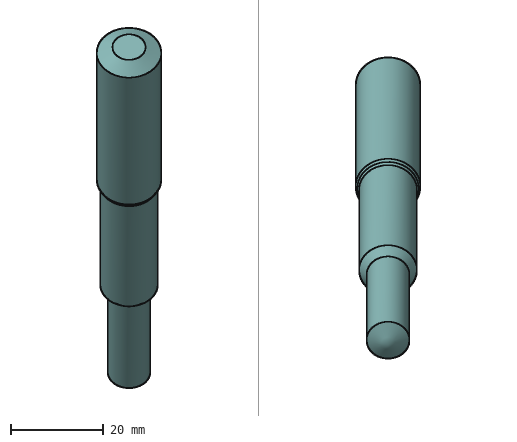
import cadquery as cq

total_height = 112.0
head_diameter = 14.0
top_flat_diameter = 7.2
shank_diameter = 12.5
tip_diameter = 9.3

point_height = 2.0
shank_bottom = 29.7
shank_cone_top = 31.7
collar_bottom = 65.6
collar_height = 1.5
top_cone_height = 1.9

collar_top = collar_bottom + collar_height
joint_height = (collar_bottom + collar_top) / 2
joint_diameter = (shank_diameter + head_diameter) / 2


def revolve_steps(steps):
    """Solid of revolution about Z from (diameter, height) steps, bottom to top."""
    bottom = steps[0][1]
    top = steps[-1][1]
    outer_points = [(diameter / 2, height) for diameter, height in steps if diameter > 0]
    outline = [(0, bottom), *outer_points, (0, top)]
    return cq.Workplane("XZ").polyline(outline).close().revolve(360, (0, 0, 0), (0, 1, 0))


def make_shank():
    """Lower body: pointed tip, shank and the lower half of the collar."""
    return revolve_steps([
        (0, 0),
        (tip_diameter, point_height),
        (tip_diameter, shank_bottom),
        (shank_diameter, shank_cone_top),
        (shank_diameter, collar_bottom),
        (joint_diameter, joint_height),
    ])


def make_head():
    """Upper body: the upper half of the collar, the head and its top cone."""
    return revolve_steps([
        (joint_diameter, joint_height),
        (head_diameter, collar_top),
        (head_diameter, total_height - top_cone_height),
        (top_flat_diameter, total_height),
    ])


shank = make_shank()
head = make_head()

result = cq.Compound.makeCompound([shank.val(), head.val()])